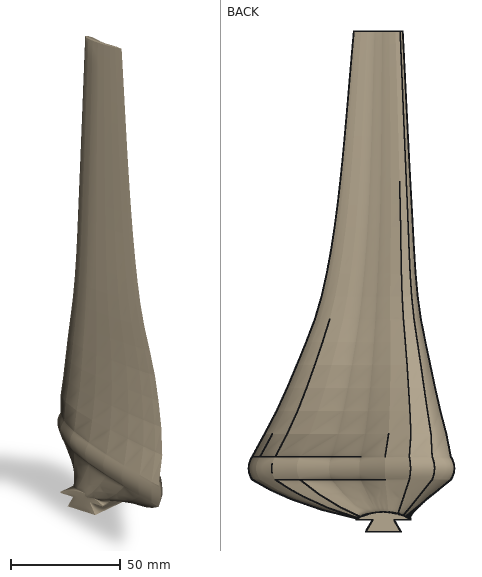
import cadquery as cq
import math

block_side = 25.0
neck_width = 9.8
tongue_width = 16.2
tongue_height = 5.5
dome_peak = 9.2
dome_radius = 26.0

blade_top = 228.8
first_ring = 34.3
last_even_ring = 223.0
even_rings = 19
ring_pitch = (last_even_ring - first_ring) / (even_rings - 1)
rim_bottom = first_ring - ring_pitch
panels_per_side = 9
even_share = 0.3
foot_radius = 12.0
foot_height = 6.0
foot_lead_angle = 138
foot_front_sweep = 235

rim_bulge = 1.8

blend_lead = 0.5
blend_trail_extra = 0.13

thickness_ratio = 0.21
root_term = 0.2969
power_terms = (-0.126, -0.3516, 0.2843, -0.1036)
wave_height = 0.06
wave_start = 0.26
wave_length = 0.95

stations = [
    (34.3, -31.0, 15.5, 60.0, -30.0, 1.0, 0.06),
    (44.9, -28.8, 11.5, 54.2, -20.4, 1.0, 0.06),
    (55.4, -26.0, 9.0, 48.7, -14.5, 1.0, 0.06),
    (76.2, -21.5, 5.3, 39.5, -7.8, 1.0, 0.05),
    (105.3, -16.0, 2.3, 28.8, -4.5, 0.85, -0.02),
    (148.8, -13.0, 1.5, 21.0, -2.0, 0.7, -0.08),
    (228.8, -9.0, 1.1, 13.5, 0.0, 0.55, -0.12),
]


def station_slope(index, column):
    """Slope of one station column, taken across the neighbouring stations."""
    below = stations[max(index - 1, 0)]
    above = stations[min(index + 1, len(stations) - 1)]
    return (above[column] - below[column]) / (above[0] - below[0])


def at_height(z, column):
    """Cubic interpolation of one station column at height z."""
    index = max(i for i in range(len(stations) - 1) if stations[i][0] <= z)
    low = stations[index]
    high = stations[index + 1]
    span = high[0] - low[0]
    t = (z - low[0]) / span
    start = (1 + 2 * t) * (1 - t) ** 2 * low[column]
    end = (3 - 2 * t) * t**2 * high[column]
    start_slope = t * (1 - t) ** 2 * span * station_slope(index, column)
    end_slope = (t - 1) * t**2 * span * station_slope(index + 1, column)
    return start + end + start_slope + end_slope


def half_thickness(s):
    """Four-digit airfoil half thickness with a closed trailing edge, at chord fraction s."""
    shape = root_term * math.sqrt(s) + sum(c * s**power for power, c in enumerate(power_terms, 1))
    return 5 * thickness_ratio * shape


def surface_offset(side, s, thickness, camber):
    """Distance of the -Y (side -1) or +Y (side 1) surface from the chord, at chord fraction s."""
    bow = s * (1 - s)
    depth = side * half_thickness(s)
    if side > 0:
        depth -= 4 * bow * wave_height * math.sin(2 * math.pi * (s - wave_start) / wave_length)
    return thickness * depth + camber * bow


def chord_fractions():
    """(side, chord fraction) of each vertex: leading to trailing edge on the -Y side, then back."""
    steps = []
    for k in range(panels_per_side + 1):
        even = k / panels_per_side
        bunched = (1 - math.cos(math.pi * even)) / 2
        steps.append(even_share * even + (1 - even_share) * bunched)
    front = [(-1, s) for s in steps[:-1]]
    back = [(1, s) for s in reversed(steps[1:])]
    return front + back


def section_points(z, station_height, outset=0):
    """Airfoil vertices at height z, sized as at station_height and moved out by outset."""
    columns = range(1, len(stations[0]))
    lead_x, lead_y, trail_x, trail_y, thickness, camber = (at_height(station_height, c) for c in columns)
    along_x = trail_x - lead_x
    along_y = trail_y - lead_y
    chord = math.hypot(along_x, along_y)
    points = []
    for side, s in chord_fractions():
        along = s + (2 * s - 1) * outset / chord
        across = surface_offset(side, s, thickness, camber)
        across += 2 * side * math.sqrt(s - s * s) * outset / chord
        x = lead_x + along * along_x - across * along_y
        y = lead_y + along * along_y + across * along_x
        points.append(cq.Vector(x, y, z))
    return points


def facet(*corners):
    return cq.Face.makeFromWires(cq.Wire.makePolygon(corners, close=True))


def make_faceted_blade():
    """Upper blade: two triangles between each pair of neighbouring vertices of two rings."""
    heights = [first_ring + ring_pitch * k for k in range(even_rings)] + [blade_top]
    rings = [section_points(z, z) for z in heights]
    faces = [facet(*rings[0]), facet(*rings[-1])]
    for lower, upper in zip(rings, rings[1:]):
        for k in range(len(lower)):
            following = (k + 1) % len(lower)
            faces.append(facet(lower[k], lower[following], upper[following]))
            faces.append(facet(lower[k], upper[following], upper[k]))
    return cq.Workplane(cq.Solid.makeSolid(cq.Shell.makeShell(faces)))


def foot_angle(side, s):
    """Direction of the foot point that belongs to an airfoil vertex."""
    if side < 0:
        return foot_lead_angle + foot_front_sweep * s
    return foot_lead_angle + 360 - (360 - foot_front_sweep) * s


def foot_point(angle):
    radians = math.radians(angle)
    return cq.Vector(foot_radius * math.cos(radians), foot_radius * math.sin(radians), foot_height)


def make_foot_wire():
    """Foot circle, split into one arc for each side of the airfoil polygon."""
    angles = [foot_angle(side, s) for side, s in chord_fractions()]
    angles.append(foot_lead_angle + 360)
    arcs = []
    for start, end in zip(angles, angles[1:]):
        middle = foot_point((start + end) / 2)
        arcs.append(cq.Edge.makeThreePointArc(foot_point(start), middle, foot_point(end)))
    return cq.Wire.assembleEdges(arcs)


def polygon_wire(points):
    return cq.Wire.makePolygon(points, close=True)


def make_blend():
    """Smooth loft that widens from the foot circle to the underside of the rim."""
    rim_points = section_points(rim_bottom, first_ring)
    middle_height = (foot_height + rim_bottom) / 2
    middle_points = []
    for (side, s), rim_point in zip(chord_fractions(), rim_points):
        foot = foot_point(foot_angle(side, s))
        grown = foot + (rim_point - foot) * (blend_lead + blend_trail_extra * s)
        middle_points.append(cq.Vector(grown.x, grown.y, middle_height))
    wires = [make_foot_wire(), polygon_wire(middle_points), polygon_wire(rim_points)]
    return cq.Workplane(cq.Solid.makeLoft(wires))


def make_rim():
    """Bulging loft between two equal airfoil sections."""
    wires = [
        polygon_wire(section_points(rim_bottom, first_ring)),
        polygon_wire(section_points((rim_bottom + first_ring) / 2, first_ring, rim_bulge)),
        polygon_wire(section_points(first_ring, first_ring)),
    ]
    return cq.Workplane(cq.Solid.makeLoft(wires))


def make_root():
    half_block = block_side / 2
    half_neck = neck_width / 2
    half_tongue = tongue_width / 2
    edge_height = dome_peak - dome_radius + math.sqrt(dome_radius**2 - half_block**2)
    return (
        cq.Workplane("XZ")
        .moveTo(-half_tongue, 0)
        .lineTo(half_tongue, 0)
        .lineTo(half_neck, tongue_height)
        .lineTo(half_block, tongue_height)
        .lineTo(half_block, edge_height)
        .threePointArc((0, dome_peak), (-half_block, edge_height))
        .lineTo(-half_block, tongue_height)
        .lineTo(-half_neck, tongue_height)
        .close()
        .extrude(half_block, both=True)
    )


root = make_root()
blade = make_faceted_blade().union(make_rim()).union(make_blend()).cut(root)

result = cq.Compound.makeCompound([root.val(), *blade.solids().vals()])